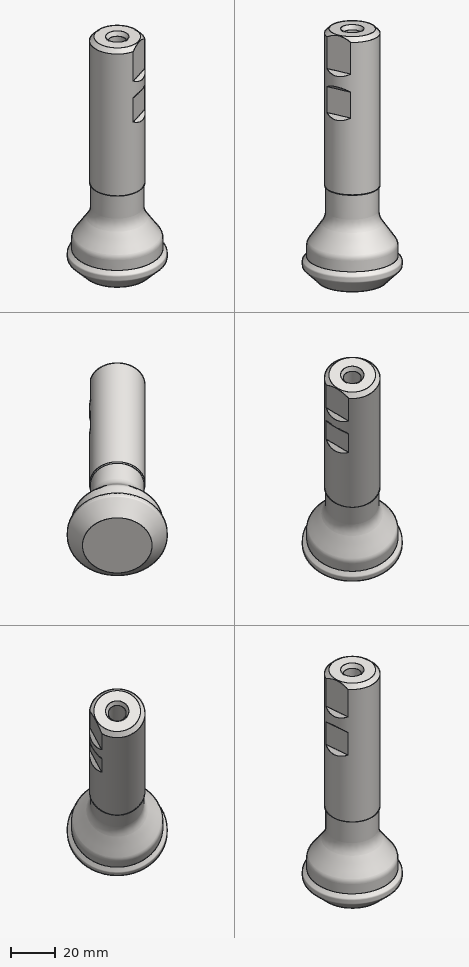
import cadquery as cq
import math

total_height = 120.0
shank_radius = 25.0 / 2
shank_bottom_z = 44.8
shank_top_chamfer = 2.0

neck_radius = 24.0 / 2
head_radius = 41.0 / 2
head_shoulder_z = 16.5
flare_angle = math.radians(35)
neck_blend_radius = 10.0
shoulder_blend_radius = 4.0

ring_radius = 44.9 / 2
ring_corner_radius = 1.0
ring_corner_z = 6.8
ring_rim_height = 2.6
bevel_angle = math.radians(45)

flat_distance = 10.7
flat_ramp = shank_radius - flat_distance
upper_flat_bottom_z = 102.8
lower_flat_top_z = 94.2
lower_flat_bottom_z = 81.8

hole_radius = 8.0 / 2
hole_mouth_radius = 10.5 / 2
hole_depth = 24.0
drill_half_angle = math.radians(59)
countersink_half_angle = math.radians(30)

ring_upper_corner_z = ring_corner_z + ring_rim_height
ring_bottom_radius = ring_radius - ring_corner_z
ring_top_z = ring_upper_corner_z + ring_radius - head_radius


def blend_offsets(radius, angle):
    """Radial and axial reach of an arc that turns away from the axis by angle."""
    return radius * (1 - math.cos(angle)), radius * math.sin(angle)


def make_shank_and_head():
    """Revolved shank, neck and flared head."""
    lower_dr, lower_dz = blend_offsets(shoulder_blend_radius, flare_angle)
    lower_mid_dr, lower_mid_dz = blend_offsets(shoulder_blend_radius, flare_angle / 2)
    upper_dr, upper_dz = blend_offsets(neck_blend_radius, flare_angle)
    upper_mid_dr, upper_mid_dz = blend_offsets(neck_blend_radius, flare_angle / 2)

    cone_bottom_radius = head_radius - lower_dr
    cone_bottom_z = head_shoulder_z + lower_dz
    cone_top_radius = neck_radius + upper_dr
    cone_top_z = cone_bottom_z + (cone_bottom_radius - cone_top_radius) / math.tan(flare_angle)
    neck_bottom_z = cone_top_z + upper_dz

    return (
        cq.Workplane("XZ")
        .moveTo(0, ring_top_z)
        .lineTo(head_radius, ring_top_z)
        .lineTo(head_radius, head_shoulder_z)
        .threePointArc(
            (head_radius - lower_mid_dr, head_shoulder_z + lower_mid_dz),
            (cone_bottom_radius, cone_bottom_z),
        )
        .lineTo(cone_top_radius, cone_top_z)
        .threePointArc(
            (neck_radius + upper_mid_dr, neck_bottom_z - upper_mid_dz),
            (neck_radius, neck_bottom_z),
        )
        .lineTo(neck_radius, shank_bottom_z)
        .lineTo(shank_radius, shank_bottom_z + shank_radius - neck_radius)
        .lineTo(shank_radius, total_height - shank_top_chamfer)
        .lineTo(shank_radius - shank_top_chamfer, total_height)
        .lineTo(0, total_height)
        .close()
        .revolve(360, (0, 0, 0), (0, 1, 0))
    )


def extrude_flat_cutter(points):
    """Prism that spans the full shank width along Y."""
    return cq.Workplane("XZ").polyline(points).close().extrude(shank_radius, both=True)


def make_upper_flat():
    """Flat open to the top face, with a ramp at its lower end."""
    return extrude_flat_cutter([
        (flat_distance, total_height),
        (flat_distance, upper_flat_bottom_z),
        (shank_radius, upper_flat_bottom_z - flat_ramp),
        (shank_radius, total_height),
    ])


def make_lower_flat():
    """Flat closed by a ramp at each end."""
    return extrude_flat_cutter([
        (flat_distance, lower_flat_top_z),
        (flat_distance, lower_flat_bottom_z),
        (shank_radius, lower_flat_bottom_z - flat_ramp),
        (shank_radius, lower_flat_top_z + flat_ramp),
    ])


def make_top_hole():
    """Drilled hole with a conical bottom and a countersunk mouth."""
    countersink_depth = (hole_mouth_radius - hole_radius) / math.tan(countersink_half_angle)
    mouth_bottom_z = total_height - countersink_depth
    hole_bottom_z = total_height - hole_depth
    drill_tip_z = hole_bottom_z - hole_radius / math.tan(drill_half_angle)
    return (
        cq.Workplane("XZ")
        .polyline([
            (0, total_height),
            (hole_mouth_radius, total_height),
            (hole_radius, mouth_bottom_z),
            (hole_radius, hole_bottom_z),
            (0, drill_tip_z),
        ])
        .close()
        .revolve(360, (0, 0, 0), (0, 1, 0))
    )


def make_holder():
    """Tool holder with its clamping flats and top hole."""
    return make_shank_and_head().cut(make_upper_flat()).cut(make_lower_flat()).cut(make_top_hole())


def make_cutting_ring():
    """Double-bevelled cutting disc with rounded rim corners, below the head."""
    corner_dr, corner_dz = blend_offsets(ring_corner_radius, bevel_angle)
    mid_dr, mid_dz = blend_offsets(ring_corner_radius, bevel_angle / 2)
    tangent_length = ring_corner_radius * math.tan(bevel_angle / 2)
    rim_bottom_z = ring_corner_z + tangent_length
    rim_top_z = ring_upper_corner_z - tangent_length
    return (
        cq.Workplane("XZ")
        .lineTo(ring_bottom_radius, 0)
        .lineTo(ring_radius - corner_dr, rim_bottom_z - corner_dz)
        .threePointArc((ring_radius - mid_dr, rim_bottom_z - mid_dz), (ring_radius, rim_bottom_z))
        .lineTo(ring_radius, rim_top_z)
        .threePointArc(
            (ring_radius - mid_dr, rim_top_z + mid_dz),
            (ring_radius - corner_dr, rim_top_z + corner_dz),
        )
        .lineTo(head_radius, ring_top_z)
        .lineTo(0, ring_top_z)
        .close()
        .revolve(360, (0, 0, 0), (0, 1, 0))
    )


holder = make_holder()
cutting_ring = make_cutting_ring()
result = cq.Compound.makeCompound([holder.val(), cutting_ring.val()])